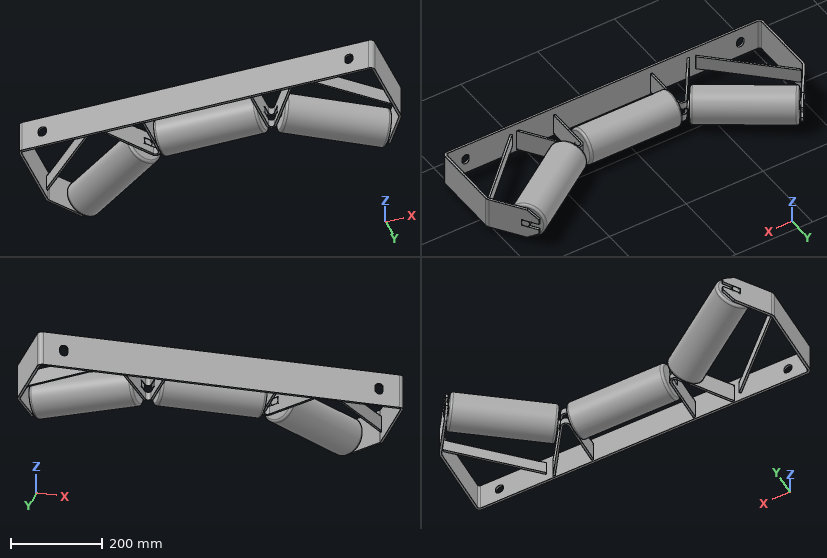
import cadquery as cq
import math

frame_width = 830
bar_height = 80.0
bar_thickness = 6.0
corner_radius = 11.0
trough_angle = 35

fold_y = 180.0
fold_radius = 15.0
wing_length = 124.0
wing_chamfer_along = 28.0
wing_chamfer_across = 20.0
mount_hole_x = 358.0
mount_hole_width = 18.0
mount_hole_height = 25.0

bracket_face_x = 124.0
bracket_top_y = 125.0
bend_radius = 12.0
bracket_thickness = 5.0
bracket_height = 54.0

strut_thickness = 5.0
strut_height = 35.0
strut_top_y = 173.5
strut_foot_x = 235.0

roller_diameter = 89.0
roller_length = 240.0
roller_fillet = 6.0
shaft_diameter = 20.0
shaft_flat_width = 15.0
slot_width = 16.0
centre_roller_y = 100.0
centre_roller_z = 32.0
side_roller_x = 256.5
side_roller_y = 181.0
side_roller_z = 36.0
side_roller_tilt = 1.6
shoulder_clearance = 0.4

trough = math.radians(trough_angle)
half_width = frame_width / 2
mid_z = bar_height / 2
wing_direction = (math.sin(trough), math.cos(trough))
axis_direction = (math.cos(trough), -math.sin(trough))


def project(point, direction):
    """Distance of an XY point along a unit direction."""
    return point[0] * direction[0] + point[1] * direction[1]


def shift(point, direction, distance):
    """XY point moved by a distance along a unit direction."""
    return (point[0] + distance * direction[0], point[1] + distance * direction[1])


def fillet_upright_edge(body, point, radius):
    """Round the Z-parallel edge that stands at an XY point."""
    return body.edges(cq.NearestToPointSelector((point[0], point[1], mid_z))).fillet(radius)


def mirror_x(body):
    return body.mirror("YZ")


fold = (-half_width, fold_y)
fold_inset = bar_thickness * math.tan(trough / 2)
wing_tip = shift(fold, wing_direction, wing_length)

side_roller_centre = (-side_roller_x, side_roller_y)
roller_to_wing = project(side_roller_centre, axis_direction) - project(fold, axis_direction)
shaft_on_wing = project(side_roller_centre, wing_direction) - project(fold, wing_direction)
slot_z = side_roller_z + roller_to_wing * math.sin(math.radians(side_roller_tilt))


def wing_cutter():
    """Open shaft slot and the two corner chamfers, cut through the left wing."""
    plane = cq.Plane(
        origin=(fold[0], fold[1], mid_z),
        xDir=(wing_direction[0], wing_direction[1], 0),
        normal=(axis_direction[0], axis_direction[1], 0),
    )
    slot_bottom = shaft_on_wing - shaft_diameter / 2
    slot_length = wing_length - slot_bottom
    cutter = (
        cq.Workplane(plane)
        .center(slot_bottom + slot_length / 2, slot_z - mid_z)
        .rect(slot_length, slot_width)
        .extrude(bar_thickness)
    )
    for side in (-1, 1):
        corner = (
            cq.Workplane(plane)
            .polyline([
                (wing_length, side * mid_z),
                (wing_length - wing_chamfer_along, side * mid_z),
                (wing_length, side * (mid_z - wing_chamfer_across)),
            ])
            .close()
            .extrude(bar_thickness)
        )
        cutter = cutter.union(corner)
    return cutter


def make_frame():
    left_outer = [wing_tip, fold, (-half_width, 0)]
    left_inner = [
        shift(wing_tip, axis_direction, bar_thickness),
        (fold[0] + bar_thickness, fold[1] - fold_inset),
        (-half_width + bar_thickness, bar_thickness),
    ]
    right_outer = [(-x, y) for x, y in left_outer]
    right_inner = [(-x, y) for x, y in left_inner]
    outline = left_outer + right_outer[::-1] + right_inner + left_inner[::-1]
    frame = cq.Workplane("XY").polyline(outline).close().extrude(bar_height)
    for outer, inner in ((left_outer, left_inner), (right_outer, right_inner)):
        for outer_point, inner_point, radius in zip(outer[1:], inner[1:], (fold_radius, corner_radius)):
            frame = fillet_upright_edge(frame, outer_point, radius)
            frame = fillet_upright_edge(frame, inner_point, radius - bar_thickness)
    mount_holes = (
        cq.Workplane("XZ", origin=(0, bar_thickness, mid_z))
        .pushPoints([(-mount_hole_x, 0), (mount_hole_x, 0)])
        .slot2D(mount_hole_height, mount_hole_width, 90)
        .extrude(bar_thickness)
    )
    cutter = wing_cutter()
    return frame.cut(mount_holes).cut(cutter).cut(mirror_x(cutter))


def make_roller(inner_reach, inner_flat_length, outer_reach, outer_flat_length):
    """Roller along X about the origin; the shaft has two flats at its inner (+X) and outer (-X) end."""
    shell = (
        cq.Workplane("YZ", origin=(-roller_length / 2, 0, 0))
        .circle(roller_diameter / 2)
        .extrude(roller_length)
    )
    shell = shell.faces("<X or >X").edges().fillet(roller_fillet)
    shaft = (
        cq.Workplane("YZ", origin=(-outer_reach, 0, 0))
        .circle(shaft_diameter / 2)
        .extrude(outer_reach + inner_reach)
    )
    flats = (
        (inner_reach - inner_flat_length / 2, inner_flat_length),
        (-outer_reach + outer_flat_length / 2, outer_flat_length),
    )
    for flat_x, flat_length in flats:
        for side in (-1, 1):
            flat_z = side * (shaft_flat_width + shaft_diameter) / 2
            waste = cq.Workplane("XY").box(flat_length, shaft_diameter, shaft_diameter)
            shaft = shaft.cut(waste.translate((flat_x, 0, flat_z)))
    return shell.union(shaft)


bend_half_angle = trough / 2
apex = (-bracket_face_x, bracket_top_y - bend_radius + bend_radius / math.tan(bend_half_angle))
roller_to_bracket = project(apex, axis_direction) - project(side_roller_centre, axis_direction)


def make_side_roller():
    roller = make_roller(
        inner_reach=roller_to_bracket + bracket_thickness,
        inner_flat_length=bracket_thickness + shoulder_clearance,
        outer_reach=roller_to_wing,
        outer_flat_length=bar_thickness + shoulder_clearance,
    )
    return (
        roller.rotate((0, 0, 0), (0, 1, 0), side_roller_tilt)
        .rotate((0, 0, 0), (0, 0, 1), -trough_angle)
        .translate((-side_roller_x, side_roller_y, side_roller_z))
    )


def make_centre_roller():
    reach = bracket_face_x + bracket_thickness
    flat_length = bracket_thickness + shoulder_clearance
    roller = make_roller(reach, flat_length, reach, flat_length)
    return roller.translate((0, centre_roller_y, centre_roller_z))


def bracket_slot():
    """Slot that runs from shaft to shaft round the bend, so the rollers drop in from the top."""
    upright_bottom = centre_roller_y - shaft_diameter / 2
    shaft_below_apex = project(apex, wing_direction) - project(side_roller_centre, wing_direction)
    below_apex = shaft_below_apex + shaft_diameter / 2
    slope_bottom = shift(apex, wing_direction, -below_apex)
    outline = [
        (apex[0], upright_bottom),
        apex,
        slope_bottom,
        shift(slope_bottom, axis_direction, bracket_thickness),
        (apex[0] - bracket_thickness, upright_bottom),
    ]
    return (
        cq.Workplane("XY", origin=(0, 0, centre_roller_z - slot_width / 2))
        .polyline(outline)
        .close()
        .extrude(slot_width)
    )


def make_bracket():
    """Left inverted V; its feet stand on the base of the frame."""
    inner_apex = (apex[0] - bracket_thickness, apex[1] - bracket_thickness / math.tan(bend_half_angle))
    foot_x = apex[0] - (apex[1] - bar_thickness) * math.tan(trough)
    outline = [
        (apex[0], bar_thickness),
        apex,
        (foot_x, bar_thickness),
        (foot_x + bracket_thickness / math.cos(trough), bar_thickness),
        inner_apex,
        (inner_apex[0], bar_thickness),
    ]
    bracket = (
        cq.Workplane("XY", origin=(0, 0, centre_roller_z - bracket_height / 2))
        .polyline(outline)
        .close()
        .extrude(bracket_height)
    )
    bracket = fillet_upright_edge(bracket, apex, bend_radius)
    bracket = fillet_upright_edge(bracket, inner_apex, bend_radius - bracket_thickness)
    return bracket.cut(bracket_slot())


def make_strut():
    """Left diagonal flat, mitred against the upright and cut square where its lower edge meets the base."""
    wall_x = -half_width + bar_thickness
    slope = math.atan2(strut_top_y - bar_thickness, -strut_foot_x - wall_x)
    wall_drop = strut_thickness / math.cos(slope)
    foot = (wall_x + (strut_top_y - wall_drop - bar_thickness) / math.tan(slope), bar_thickness)
    outline = [
        (wall_x, strut_top_y),
        (wall_x, strut_top_y - wall_drop),
        foot,
        (foot[0] + strut_thickness * math.sin(slope), foot[1] + strut_thickness * math.cos(slope)),
    ]
    return (
        cq.Workplane("XY", origin=(0, 0, mid_z - strut_height / 2))
        .polyline(outline)
        .close()
        .extrude(strut_height)
    )


frame = make_frame()
centre_roller = make_centre_roller()
left_roller = make_side_roller()
left_bracket = make_bracket()
left_strut = make_strut()

bodies = [frame.val(), centre_roller.val()]
for left_body in (left_roller, left_bracket, left_strut):
    bodies.append(left_body.val())
    bodies.append(mirror_x(left_body).val())

result = cq.Compound.makeCompound(bodies)